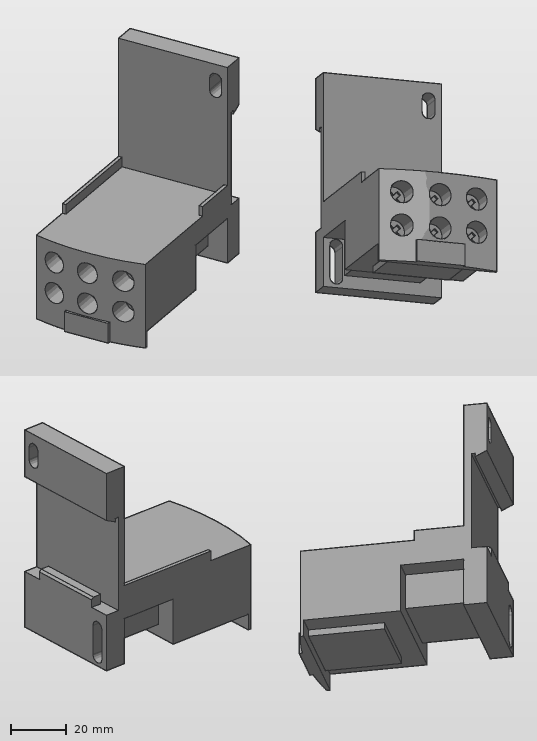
import cadquery as cq

width = 45.0
height = 86.4
depth = 72.0

plate_thickness = 8.55
plate_bottom = 6.4
channel_depth = 5.7
channel_bottom = 28.95
channel_top = 66.7
hook_depth = 4.3
hook_root = 67.4
hook_tip = 65.3

tongue_top = 32.8
tongue_chamfer = 0.9

body_top = 34.2
bow_edge = 68.6
bow_apex = 71.2
lip_back = 67.4

core_inset = 8.1
core_width = width - 2 * core_inset
core_bottom = 11.2
recess_front = 31.7
recess_top = 24.7

strip_back = 39.4
strip_bottom = 3.9

guide_top = 38.1
guide_thickness = 1.5
left_guide_end = 49.6
right_guide_end = 26.7

tab_width = 18.15
tab_top = 8.1

slot_width = 4.8
slot_edge_distance = 4.9
upper_slot_bottom = 72.9
upper_slot_top = 82.6
lower_slot_bottom = 7.8
lower_slot_top = 24.4

well_diameter = 8.2
well_floor = 61.2
well_spacing = 14.25
well_heights = (13.5, 25.9)
cross_length = 5.7
cross_width = 1.6
cross_depth = 1.0


def block(x_range, y_range, z_range):
    """Box between two X, two Y and two Z limits; Y is given as distance in front of the back face."""
    x0, x1 = x_range
    y0, y1 = y_range
    z0, z1 = z_range
    return cq.Workplane("XY").box(x1 - x0, y1 - y0, z1 - z0, centered=False).translate((x0, -y1, z0))


def centred(size):
    """X limits of a feature centred on the part."""
    return (-size / 2, size / 2)


def mounting_plate():
    """Plate profile with the hooked rail channel, extruded over the full width."""
    profile = [
        (0, plate_bottom),
        (-plate_thickness, plate_bottom),
        (-plate_thickness, height),
        (0, height),
        (0, hook_root),
        (-hook_depth, hook_tip),
        (-hook_depth, channel_top),
        (-channel_depth, channel_top),
        (-channel_depth, channel_bottom),
        (0, channel_bottom),
    ]
    return cq.Workplane("YZ").polyline(profile).close().extrude(width / 2, both=True)


def latch_tongue():
    tongue = block(centred(core_width), (0, hook_depth), (channel_bottom, tongue_top))
    return tongue.edges(">Y and >Z").chamfer(tongue_chamfer)


def bowed_body(back, bottom):
    """Full-width body from a back plane to the bowed front face."""
    side = width / 2
    return (
        cq.Workplane("XY", origin=(0, 0, bottom))
        .moveTo(-side, -back)
        .lineTo(-side, -bow_edge)
        .threePointArc((0, -bow_apex), (side, -bow_edge))
        .lineTo(side, -back)
        .close()
        .extrude(body_top - bottom)
    )


def side_recesses():
    """Recess under each side of the body, and the gap below the core between them."""
    span = (plate_thickness, recess_front)
    side = width / 2
    left = block((-side, -core_width / 2), span, (plate_bottom, recess_top))
    right = left.mirror("YZ")
    below = block(centred(width), span, (plate_bottom, core_bottom))
    return left.union(right).union(below)


def guide(outer_x, inner_x, end):
    return block((min(outer_x, inner_x), max(outer_x, inner_x)), (plate_thickness, end), (body_top, guide_top))


def plate_slot(x, bottom, top):
    return (
        cq.Workplane("XZ", origin=(x, 0, (bottom + top) / 2))
        .slot2D(top - bottom, slot_width, 90)
        .extrude(plate_thickness)
    )


def screw_well(x, z):
    """Round well from the front face, with a diagonal cross sunk in its floor."""
    floor = cq.Workplane("XZ", origin=(x, -well_floor, z))
    well = floor.circle(well_diameter / 2).extrude(depth - well_floor)
    for angle in (45, -45):
        arm = floor.transformed(rotate=(0, 0, angle)).rect(cross_length, cross_width).extrude(-cross_depth)
        well = well.union(arm)
    return well


half_width = width / 2
result = mounting_plate().union(latch_tongue())
result = result.union(bowed_body(plate_thickness, plate_bottom)).union(bowed_body(lip_back, 0))
result = result.cut(side_recesses())
result = result.union(block(centred(core_width), (strip_back, lip_back), (strip_bottom, plate_bottom)))
result = result.union(guide(-half_width, -half_width + guide_thickness, left_guide_end))
result = result.union(guide(half_width, half_width - guide_thickness, right_guide_end))
result = result.union(block(centred(tab_width), (lip_back, depth), (0, tab_top)))

slot_x = half_width - slot_edge_distance
result = result.cut(plate_slot(slot_x, upper_slot_bottom, upper_slot_top))
result = result.cut(plate_slot(-slot_x, lower_slot_bottom, lower_slot_top))

for column in (-1, 0, 1):
    for well_z in well_heights:
        result = result.cut(screw_well(column * well_spacing, well_z))